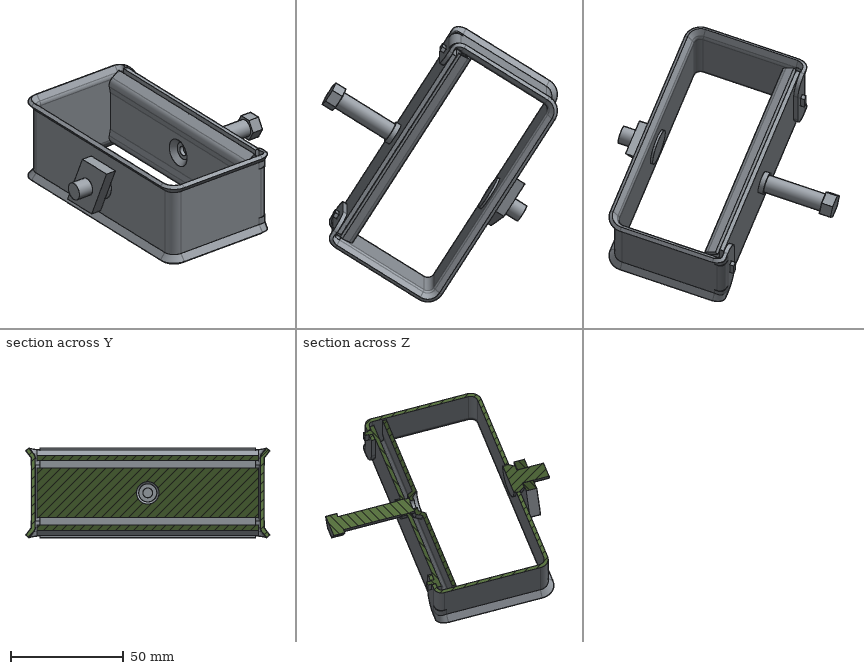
import cadquery as cq
import math

sheet = 2.0
shaft_radius = 4.0

frame_width = 109.0
frame_height = 40.0
frame_front = 12.4
frame_back = 69.0
flare_angle = math.radians(40.0)
flare_out = 2.5
flare_bend_radius = 3.0
front_corner_radius = 5.1
rear_corner_radius = 3.8
rear_rim_start_y = 4.9
rear_rim_squareness = 0.8
rear_wall_half_height = 12.4
ear_half_height = 19.2
ear_round_radius = 8.2

back_plate_width = 96.0
tab_spacing = 89.2
tab_width = 2.1
tab_height = 7.3
tab_end = 70.9
collar_radius = 5.0
collar_end = 69.4

saddle_width = 98.8
saddle_lip = 58.1
saddle_wall = 58.8
saddle_tip_y = 63.5
saddle_tip_z = 19.1
lip_slope = math.radians(35.0)
lip_lean = math.radians(10.7)
lip_radius = 4.0
dimple_mouth_radius = 6.4
dimple_depth = 2.6
dimple_hole_radius = 2.2

bolt_end = 101.8
bolt_head_length = 5.3
bolt_head_flats = 10.0

screw_head_radius = 8.0
screw_head_rise = 1.1
screw_cone_radius = 6.2
nut_front = 7.4
nut_width = 17.5
nut_height = 24.9
nut_skew = 10.8

half_width = frame_width / 2
half_height = frame_height / 2
wall_x = half_width - flare_out
wall_front = frame_front + flare_out
wall_inside = wall_front + sheet
rim_edge_z = half_height - sheet * math.sin(flare_angle)
rim_base_z = rim_edge_z - flare_out / math.tan(flare_angle)
rear_rim_x = wall_x - rear_corner_radius
rear_rim_y = frame_back - rear_rim_start_y
ear_inside = frame_back - sheet
plate_front = ear_inside - sheet
ear_end_x = rear_rim_x - ear_round_radius
dimple_floor = saddle_wall + dimple_depth
dimple_back = dimple_floor + sheet


def y_cylinder(radius, y_start, y_end):
    """Round bar on the Y axis between two Y positions."""
    return cq.Workplane("XZ", origin=(0, y_start, 0)).circle(radius).extrude(y_start - y_end)


def y_cone(start_radius, end_radius, y_start, y_end):
    """Truncated cone on the Y axis."""
    outline = [(0, y_start), (start_radius, y_start), (end_radius, y_end), (0, y_end)]
    return cq.Workplane("XY").polyline(outline).close().revolve(360, (0, 0, 0), (0, 1, 0))


def rim_points():
    """Upper half of the wall section as (distance outside the wall face, Z) points."""
    across = sheet * math.cos(flare_angle)
    along = sheet * math.sin(flare_angle)
    base = (0.0, rim_base_z)
    edge = (flare_out, rim_edge_z)
    top = (flare_out - across, rim_edge_z + along)
    half_angle = flare_angle / 2
    tangent_length = flare_bend_radius * math.tan(half_angle)
    bend_bottom_z = rim_base_z + sheet * math.tan(half_angle) - tangent_length
    bend_center_x = flare_bend_radius - sheet

    def on_bend(angle):
        return (bend_center_x - flare_bend_radius * math.cos(angle),
                bend_bottom_z + flare_bend_radius * math.sin(angle))

    bend_top = on_bend(flare_angle)
    bend_mid = on_bend(half_angle)
    bend_bottom = on_bend(0)
    return base, edge, top, bend_top, bend_mid, bend_bottom


def wall_and_rims():
    """Sides and front: the flared section swept along a U with round corners."""
    base, edge, top, bend_top, bend_mid, bend_bottom = rim_points()

    def at(point, side):
        return (-wall_x - point[0], side * point[1])

    section = (
        cq.Workplane("XZ", origin=(0, rear_rim_y, 0))
        .moveTo(*at(base, 1))
        .lineTo(*at(edge, 1))
        .lineTo(*at(top, 1))
        .lineTo(*at(bend_top, 1))
        .threePointArc(at(bend_mid, 1), at(bend_bottom, 1))
        .lineTo(*at(bend_bottom, -1))
        .threePointArc(at(bend_mid, -1), at(bend_top, -1))
        .lineTo(*at(top, -1))
        .lineTo(*at(edge, -1))
        .lineTo(*at(base, -1))
        .close()
    )
    corner_x = wall_x - front_corner_radius
    corner_y = wall_front + front_corner_radius
    path = (
        cq.Workplane("XY")
        .moveTo(-wall_x, rear_rim_y)
        .lineTo(-wall_x, corner_y)
        .tangentArcPoint((-corner_x, wall_front), relative=False)
        .lineTo(corner_x, wall_front)
        .tangentArcPoint((wall_x, corner_y), relative=False)
        .lineTo(wall_x, rear_rim_y)
    )
    return section.sweep(path)


def rear_corner():
    """Plain bend from the left wall to its ear, between the two rim corners."""
    bend_y = frame_back - rear_corner_radius
    inner_radius = rear_corner_radius - sheet
    diagonal = math.sqrt(0.5)
    return (
        cq.Workplane("XY", origin=(0, 0, -rear_wall_half_height))
        .moveTo(-wall_x, rear_rim_y)
        .lineTo(-wall_x, bend_y)
        .threePointArc(
            (-rear_rim_x - rear_corner_radius * diagonal, bend_y + rear_corner_radius * diagonal),
            (-rear_rim_x, frame_back),
        )
        .lineTo(-rear_rim_x, ear_inside)
        .threePointArc(
            (-rear_rim_x - inner_radius * diagonal, bend_y + inner_radius * diagonal),
            (-wall_x + sheet, bend_y),
        )
        .lineTo(-wall_x + sheet, rear_rim_y)
        .close()
        .extrude(2 * rear_wall_half_height)
    )


def rear_rim_corner():
    """Upper left rim corner, fading from the flared section to the flat ear section."""
    base, edge, top, bend_top, _, bend_bottom = rim_points()
    flared = [(0.0, rear_wall_half_height), base, edge, top, bend_top, bend_bottom,
              (-sheet, rear_wall_half_height)]
    flat = [(0.0, rear_wall_half_height), base, (0.0, ear_half_height), (-sheet, ear_half_height),
            (-sheet, bend_top[1]), bend_bottom, (-sheet, rear_wall_half_height)]
    flared_section = cq.Wire.makePolygon(
        [cq.Vector(-wall_x - out, rear_rim_y, z) for out, z in flared], close=True)
    flat_section = cq.Wire.makePolygon(
        [cq.Vector(-rear_rim_x, frame_back + out, z) for out, z in flat], close=True)
    spine_end_y = frame_back - sheet / 2
    spine_size = spine_end_y - rear_rim_y
    spine_middle = (-rear_rim_x - rear_rim_squareness * spine_size,
                    rear_rim_y + rear_rim_squareness * spine_size)
    spine = (
        cq.Workplane("XY")
        .spline(
            [(-rear_rim_x - spine_size, rear_rim_y), spine_middle, (-rear_rim_x, spine_end_y)],
            tangents=[(0, 1), (1, 0)],
        )
    )
    corner = cq.Workplane(cq.Solid.sweep_multi([flared_section, flat_section], spine.wire().val()))
    behind_ear = (
        cq.Workplane("XZ", origin=(0, frame_back, 0))
        .rect(frame_width, frame_height)
        .extrude(-flare_out)
    )
    return corner.cut(behind_ear)


def ear():
    """Flat left ear, quarter-round at the top and bottom."""
    round_z = ear_half_height - ear_round_radius
    return (
        cq.Workplane("XZ", origin=(0, frame_back, 0))
        .moveTo(-rear_rim_x, -ear_half_height)
        .radiusArc((-ear_end_x, -round_z), -ear_round_radius)
        .lineTo(-ear_end_x, round_z)
        .tangentArcPoint((-rear_rim_x, ear_half_height), relative=False)
        .close()
        .extrude(sheet)
    )


def make_tabs():
    """The two tabs of the back plate that pass through the ears."""
    return (
        cq.Workplane("XZ", origin=(0, ear_inside, 0))
        .pushPoints([(-tab_spacing / 2, 0), (tab_spacing / 2, 0)])
        .rect(tab_width, tab_height)
        .extrude(ear_inside - tab_end)
    )


def make_frame():
    rim_corner = rear_rim_corner()
    left_back = rear_corner().union(ear()).union(rim_corner).union(rim_corner.mirror("XY"))
    frame = wall_and_rims().union(left_back).union(left_back.mirror("YZ"))
    head_hole = y_cylinder(screw_head_radius, wall_front, wall_inside)
    return frame.cut(make_tabs()).cut(head_hole)


def make_back_plate():
    plate = (
        cq.Workplane("XZ", origin=(0, plate_front, 0))
        .rect(back_plate_width, frame_height)
        .extrude(-sheet)
    )
    collar = y_cylinder(collar_radius, ear_inside, collar_end)
    bore = y_cylinder(shaft_radius, plate_front, collar_end)
    return plate.union(make_tabs()).union(collar).cut(bore)


def make_saddle():
    """Sheet with a rolled lip along the top and bottom and a dimple for the bolt."""
    slope_y, slope_z = math.cos(lip_slope), math.sin(lip_slope)
    center_y = saddle_lip + lip_radius
    inner_radius = lip_radius - sheet
    slope_start_y = center_y - lip_radius * slope_z
    slope_start_z = saddle_tip_z - (saddle_tip_y - slope_start_y) * math.tan(lip_slope)
    center_z = slope_start_z - lip_radius * slope_y

    def on_bend(radius, angle):
        """Point on the bend; the angle is measured upward from straight ahead."""
        return (center_y - radius * math.cos(angle), center_z + radius * math.sin(angle))

    bend_top_angle = math.pi / 2 - lip_slope
    bend_mid_angle = (bend_top_angle - lip_lean) / 2

    def wall_foot(radius, face_y):
        """Where the leaning lower face of the lip meets a face of the flat wall."""
        y, z = on_bend(radius, -lip_lean)
        return (face_y, z - (face_y - y) / math.tan(lip_lean))

    tip_front = (saddle_tip_y, saddle_tip_z)
    tip_back = (saddle_tip_y + sheet * slope_z, saddle_tip_z - sheet * slope_y)
    front_foot = wall_foot(lip_radius, saddle_wall)
    back_foot = wall_foot(inner_radius, saddle_wall + sheet)
    upper_half = (
        cq.Workplane("YZ", origin=(-saddle_width / 2, 0, 0))
        .moveTo(saddle_wall, 0)
        .lineTo(*front_foot)
        .lineTo(*on_bend(lip_radius, -lip_lean))
        .threePointArc(on_bend(lip_radius, bend_mid_angle), on_bend(lip_radius, bend_top_angle))
        .lineTo(*tip_front)
        .lineTo(*tip_back)
        .lineTo(*on_bend(inner_radius, bend_top_angle))
        .threePointArc(on_bend(inner_radius, bend_mid_angle), on_bend(inner_radius, -lip_lean))
        .lineTo(*back_foot)
        .lineTo(saddle_wall + sheet, 0)
        .close()
        .extrude(saddle_width)
    )
    dimple_shell = y_cone(dimple_mouth_radius + sheet, shaft_radius + sheet, saddle_wall, dimple_back)
    recess = y_cone(dimple_mouth_radius, shaft_radius, saddle_wall, dimple_floor)
    hole = y_cylinder(dimple_hole_radius, dimple_floor, dimple_back)
    return upper_half.union(upper_half.mirror("XY")).union(dimple_shell).cut(recess).cut(hole)


def make_rear_bolt():
    """Hexagon bolt through the back plate, its end resting on the saddle dimple."""
    head_start = bolt_end - bolt_head_length
    across_corners = bolt_head_flats / math.cos(math.pi / 6)
    head = (
        cq.Workplane("XZ", origin=(0, head_start, 0))
        .polygon(6, across_corners)
        .extrude(-bolt_head_length)
    )
    return head.union(y_cylinder(shaft_radius, dimple_back, head_start))


def make_front_screw():
    """Screw whose head fills the hole in the front wall and tapers down to the nut."""
    head = y_cylinder(screw_head_radius, wall_front, wall_inside + screw_head_rise)
    cone = y_cone(screw_cone_radius, screw_head_radius, frame_front, wall_front)
    shaft = y_cylinder(shaft_radius, 0, frame_front)
    return head.union(cone).union(shaft)


def make_rhomboid_nut():
    half_skew = nut_skew / 2
    outline = [
        (-nut_width / 2 - half_skew, -nut_height / 2),
        (nut_width / 2 - half_skew, -nut_height / 2),
        (nut_width / 2 + half_skew, nut_height / 2),
        (-nut_width / 2 + half_skew, nut_height / 2),
    ]
    block = (
        cq.Workplane("XZ", origin=(0, nut_front, 0))
        .polyline(outline)
        .close()
        .extrude(nut_front - frame_front)
    )
    return block.cut(y_cylinder(shaft_radius, nut_front, frame_front))


frame = make_frame()
back_plate = make_back_plate()
saddle = make_saddle()
rear_bolt = make_rear_bolt()
front_screw = make_front_screw()
rhomboid_nut = make_rhomboid_nut()

result = cq.Compound.makeCompound([
    frame.val(),
    back_plate.val(),
    saddle.val(),
    rear_bolt.val(),
    front_screw.val(),
    rhomboid_nut.val(),
])